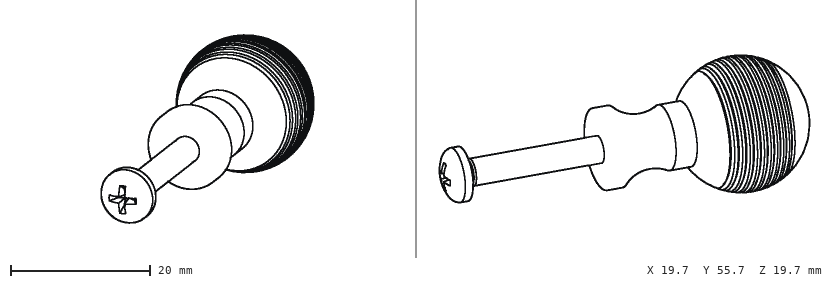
import cadquery as cq
import math


ball_radius = 9.85
knob_length = 31.65
ball_center_y = knob_length - ball_radius
collar_radius = 4.8
collar_start_y = 9.95
foot_radius = 6.0
foot_thickness = 2.45
foot_edge_round = 0.15
waist_radius = 4.05
waist_y = 6.95

groove_count = 10
groove_width = 0.6
groove_depth = 0.5
grip_length = 10.0
groove_pitch = (grip_length - groove_width) / (groove_count - 1)

shank_radius = 2.0
undercut_radius = 1.8
screw_length = 30.0
head_seat_y = -20.95
undercut_end_y = -19.95
undercut_taper = 0.3
screw_end_y = head_seat_y + screw_length

head_radius = 4.0
head_height = 3.18
head_rim_height = 1.2
dome_edge_radius = 3.3
dome_edge_height = 2.2
shoulder_bulge = 0.08
head_top_y = head_seat_y - head_height
dome_rise = head_height - dome_edge_height
dome_curve_radius = (dome_edge_radius**2 + dome_rise**2) / (2 * dome_rise)

recess_span = 4.7
recess_arm_width = 0.95
recess_floor_radius = 1.35
recess_wall_depth = 1.6
recess_depth = 2.2
recess_draft = 7.0


def ball_radius_at(y):
    """Distance from the axis to the ball surface at height y."""
    return math.sqrt(ball_radius**2 - (y - ball_center_y) ** 2)


def revolve_about_y(profile):
    return profile.close().revolve(360, (0, 0, 0), (0, 1, 0))


def make_knob_blank():
    collar_end_y = ball_center_y - math.sqrt(ball_radius**2 - collar_radius**2)
    profile = (
        cq.Workplane("XY")
        .lineTo(foot_radius, 0)
        .lineTo(foot_radius, foot_thickness)
        .threePointArc((waist_radius, waist_y), (collar_radius, collar_start_y))
        .lineTo(collar_radius, collar_end_y)
        .threePointArc((ball_radius, ball_center_y), (0, knob_length))
    )
    blank = revolve_about_y(profile)
    clear_radius = 2 * foot_radius
    foot_edges = cq.selectors.BoxSelector(
        (-clear_radius, -foot_edge_round, -clear_radius),
        (clear_radius, foot_thickness + foot_edge_round, clear_radius),
        boundingbox=True,
    )
    return blank.edges("%CIRCLE").edges(foot_edges).fillet(foot_edge_round)


def make_groove_cutter(y):
    """Ring whose V sides start on the ball surface and which reaches clear of the ball outside."""
    lower_y = y - groove_width / 2
    upper_y = y + groove_width / 2
    lower_radius = ball_radius_at(lower_y)
    upper_radius = ball_radius_at(upper_y)
    bottom_radius = (lower_radius + upper_radius) / 2 - groove_depth
    clearance_radius = ball_radius + groove_depth
    profile = (
        cq.Workplane("XY")
        .moveTo(bottom_radius, y)
        .lineTo(lower_radius, lower_y)
        .lineTo(clearance_radius, lower_y)
        .lineTo(clearance_radius, upper_y)
        .lineTo(upper_radius, upper_y)
    )
    return revolve_about_y(profile)


def make_knob():
    knob = make_knob_blank()
    first_groove_y = ball_center_y - (grip_length - groove_width) / 2
    for index in range(groove_count):
        knob = knob.cut(make_groove_cutter(first_groove_y + index * groove_pitch))
    screw_hole = cq.Workplane("XZ").circle(shank_radius).extrude(-screw_end_y)
    return knob.cut(screw_hole)


def make_recess_cutter():
    """Cross of two drafted slots, bounded by steep end walls and a shallow conical floor."""
    half_span = recess_span / 2
    outline = revolve_about_y(
        cq.Workplane("XY")
        .moveTo(0, head_top_y)
        .lineTo(half_span, head_top_y)
        .lineTo(recess_floor_radius, head_top_y + recess_wall_depth)
        .lineTo(0, head_top_y + recess_depth)
    )
    slot = cq.Workplane("XZ", origin=(0, head_top_y, 0)).rect(2 * recess_span, recess_arm_width)
    slot = slot.extrude(-recess_depth, taper=recess_draft)
    cross = slot.union(slot.rotate((0, 0, 0), (0, 1, 0), 90))
    return cross.intersect(outline)


def make_screw():
    shoulder_mid = (
        (head_radius + dome_edge_radius) / 2 + shoulder_bulge,
        head_seat_y - (head_rim_height + dome_edge_height) / 2 - shoulder_bulge,
    )
    dome_mid_radius = dome_edge_radius / 2
    dome_drop = dome_curve_radius - math.sqrt(dome_curve_radius**2 - dome_mid_radius**2)
    profile = (
        cq.Workplane("XY")
        .moveTo(0, screw_end_y)
        .lineTo(shank_radius, screw_end_y)
        .lineTo(shank_radius, undercut_end_y + undercut_taper)
        .lineTo(undercut_radius, undercut_end_y)
        .lineTo(undercut_radius, head_seat_y)
        .lineTo(head_radius, head_seat_y)
        .lineTo(head_radius, head_seat_y - head_rim_height)
        .threePointArc(shoulder_mid, (dome_edge_radius, head_seat_y - dome_edge_height))
        .threePointArc((dome_mid_radius, head_top_y + dome_drop), (0, head_top_y))
    )
    return revolve_about_y(profile).cut(make_recess_cutter())


knob = make_knob()
screw = make_screw()
result = cq.Compound.makeCompound([knob.val(), screw.val()])